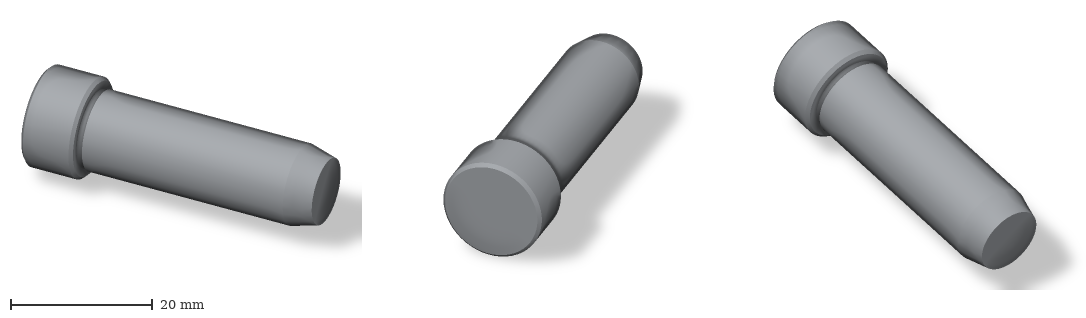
import cadquery as cq
import math

total_length = 44.0
head_radius = 15.0 / 2
head_length = 8.0
head_chamfer = 0.5
shank_radius = 12.0 / 2

nose_length = 4.0
nose_angle = 15.0
nose_radius = shank_radius - nose_length * math.tan(math.radians(nose_angle))
nose_start = total_length - nose_length

groove_radius = 0.5
groove_end = 8.95
groove_center = groove_end - groove_radius
groove_head_radius = shank_radius - math.sqrt(groove_radius**2 - (groove_center - head_length) ** 2)
groove_bottom_radius = shank_radius - groove_radius

profile = (
    cq.Workplane("XY")
    .moveTo(0, 0)
    .lineTo(0, head_radius - head_chamfer)
    .lineTo(head_chamfer, head_radius)
    .lineTo(head_length - head_chamfer, head_radius)
    .lineTo(head_length, head_radius - head_chamfer)
    .lineTo(head_length, groove_head_radius)
    .threePointArc((groove_center, groove_bottom_radius), (groove_end, shank_radius))
    .lineTo(nose_start, shank_radius)
    .lineTo(total_length, nose_radius)
    .lineTo(total_length, 0)
    .close()
)
result = profile.revolve(360, (0, 0, 0), (1, 0, 0))